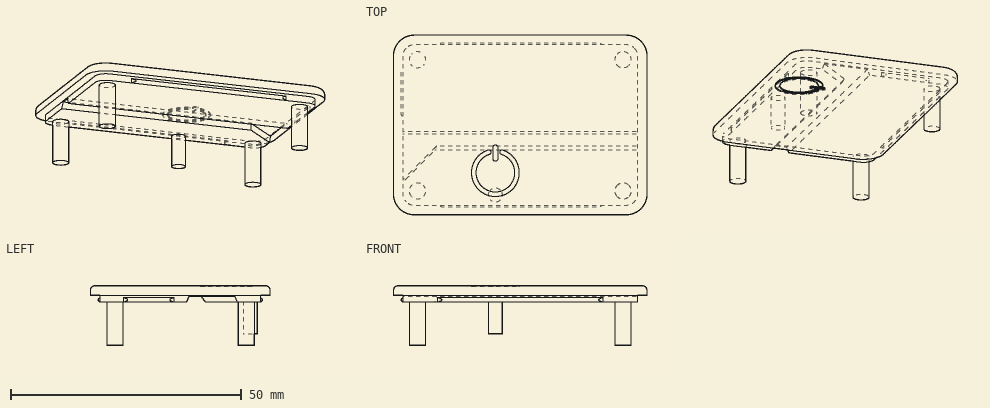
import cadquery as cq
import math

LENGTH = 55.0
WIDTH = 39.0
HEIGHT = 12.9

PLATE_THICKNESS = 2.1
CORNER_RADIUS = 4.55
EDGE_FILLET = 1.05

LIP_INSET = 2.1
LIP_HEIGHT = 1.5

BEAD_HEIGHT = 1.0
BEAD_CREST_RADIUS = 0.35
BEAD_APEX = 0.55
BEAD_END_TAPER = 0.9
LONG_BEAD_LENGTH = 35.75
SHORT_BEAD_LENGTH = 10.9
SHORT_BEAD_Y = 6.8

CHANNEL_SKIN = 0.2
CHANNEL_UPPER_Y = -1.9
CHANNEL_MOUTH_Y = -11.8
CHANNEL_LOWER_Y = -4.5
CHANNEL_MOUTH_SPREAD = 0.55
CHANNEL_LOWER_SPREAD = 0.95

LEG_DIAMETER = 3.5
LEG_X = 22.3
FRONT_LEG_Y = -14.3
BACK_LEG_Y = 14.15
POST_DIAMETER = 3.0
POST_BOTTOM = 2.5
POST_Y = -15.2

SYMBOL_X = -5.4
SYMBOL_Y = -10.35
SYMBOL_DEPTH = 0.2
RING_OUTER_RADIUS = 5.15
STROKE_WIDTH = 1.0
RING_GAP_HALF_ANGLE = math.radians(18)
BAR_WIDTH = 1.1
BAR_BOTTOM_Y = -7.8
BAR_TOP_Y = -4.35
BAR_CORNER_RADIUS = 0.5

PLATE_BOTTOM = HEIGHT - PLATE_THICKNESS
LIP_BOTTOM = PLATE_BOTTOM - LIP_HEIGHT
LIP_LENGTH = LENGTH - 2 * LIP_INSET
LIP_WIDTH = WIDTH - 2 * LIP_INSET


def rounded_block(length, width, radius, bottom, top):
    """Centred block with rounded vertical corners."""
    block = cq.Workplane("XY").workplane(offset=bottom).rect(length, width).extrude(top - bottom)
    return block.edges("|Z").fillet(radius)


def plate():
    body = rounded_block(LENGTH, WIDTH, CORNER_RADIUS, PLATE_BOTTOM, HEIGHT)
    return body.faces(">Z").edges().fillet(EDGE_FILLET)


def channel():
    """Cutter with leaning side walls and a 45 degree guide wall behind the -X mouth."""

    def outline(mouth_spread, lower_spread):
        half_length = LIP_LENGTH / 2
        mouth_y = CHANNEL_MOUTH_Y - mouth_spread
        lower_y = CHANNEL_LOWER_Y - lower_spread
        upper_y = CHANNEL_UPPER_Y + mouth_spread
        return [
            (-half_length, upper_y),
            (-half_length, mouth_y),
            (-half_length + lower_y - mouth_y, lower_y),
            (half_length, lower_y),
            (half_length, upper_y),
        ]

    depth = LIP_HEIGHT - CHANNEL_SKIN
    return (
        cq.Workplane("XY").workplane(offset=LIP_BOTTOM)
        .polyline(outline(CHANNEL_MOUTH_SPREAD, CHANNEL_LOWER_SPREAD)).close()
        .workplane(offset=depth)
        .polyline(outline(0, 0)).close()
        .loft(ruled=True)
    )


def lip():
    body = rounded_block(LIP_LENGTH, LIP_WIDTH, CORNER_RADIUS - LIP_INSET, LIP_BOTTOM, PLATE_BOTTOM)
    return body.cut(channel())


def bead(length):
    """Rounded V ridge along X on the wall Y = 0, pointing to -Y, with its ends tapered in plan."""
    half_height = BEAD_HEIGHT / 2
    ridge = (
        cq.Workplane("YZ")
        .polyline([(0, 0), (-BEAD_APEX, half_height), (0, BEAD_HEIGHT)]).close()
        .extrude(length / 2, both=True)
        .edges("<Y").fillet(BEAD_CREST_RADIUS)
    )
    flank_length = math.hypot(BEAD_APEX, half_height)
    crest = BEAD_APEX - BEAD_CREST_RADIUS * (flank_length / half_height - 1)
    plan = (
        cq.Workplane("XY")
        .polyline([
            (-length / 2, 0),
            (-length / 2 + BEAD_END_TAPER, -crest),
            (length / 2 - BEAD_END_TAPER, -crest),
            (length / 2, 0),
        ]).close()
        .extrude(BEAD_HEIGHT)
    )
    return ridge.intersect(plan)


def beads():
    """Beads along both long lip walls and on the -X wall."""
    origin = (0, 0, 0)
    z_axis = (0, 0, 1)
    front = bead(LONG_BEAD_LENGTH).translate((0, -LIP_WIDTH / 2, LIP_BOTTOM))
    back = front.rotate(origin, z_axis, 180)
    side = bead(SHORT_BEAD_LENGTH).rotate(origin, z_axis, -90)
    side = side.translate((-LIP_LENGTH / 2, SHORT_BEAD_Y, LIP_BOTTOM))
    return front.union(back).union(side)


def pin(x, y, diameter, bottom):
    """Round pin from the given level up to the underside of the plate."""
    pin_base = cq.Workplane("XY").workplane(offset=bottom).center(x, y)
    return pin_base.circle(diameter / 2).extrude(PLATE_BOTTOM - bottom)


def pins():
    all_pins = pin(SYMBOL_X, POST_Y, POST_DIAMETER, POST_BOTTOM)
    for x in (-LEG_X, LEG_X):
        for y in (FRONT_LEG_Y, BACK_LEG_Y):
            all_pins = all_pins.union(pin(x, y, LEG_DIAMETER, 0))
    return all_pins


def symbol():
    """Open ring with round ends, plus a short rounded bar standing in its gap."""
    inner = RING_OUTER_RADIUS - STROKE_WIDTH
    middle = RING_OUTER_RADIUS - STROKE_WIDTH / 2

    def ring_point(radius, side, angle=RING_GAP_HALF_ANGLE):
        return side * radius * math.sin(angle), radius * math.cos(angle)

    end_angle = RING_GAP_HALF_ANGLE - math.atan(STROKE_WIDTH / 2 / middle)
    end_radius = math.hypot(middle, STROKE_WIDTH / 2)
    floor = cq.Workplane("XY").workplane(offset=HEIGHT - SYMBOL_DEPTH)
    ring = (
        floor.center(SYMBOL_X, SYMBOL_Y)
        .moveTo(*ring_point(RING_OUTER_RADIUS, 1))
        .threePointArc((0, -RING_OUTER_RADIUS), ring_point(RING_OUTER_RADIUS, -1))
        .threePointArc(ring_point(end_radius, -1, end_angle), ring_point(inner, -1))
        .threePointArc((0, -inner), ring_point(inner, 1))
        .threePointArc(ring_point(end_radius, 1, end_angle), ring_point(RING_OUTER_RADIUS, 1))
        .close()
        .extrude(SYMBOL_DEPTH)
    )
    bar = (
        floor.center(SYMBOL_X, (BAR_BOTTOM_Y + BAR_TOP_Y) / 2)
        .rect(BAR_WIDTH, BAR_TOP_Y - BAR_BOTTOM_Y)
        .extrude(SYMBOL_DEPTH)
        .edges("|Z").fillet(BAR_CORNER_RADIUS)
    )
    return ring.union(bar)


result = plate().union(lip()).union(beads()).union(pins()).cut(symbol())